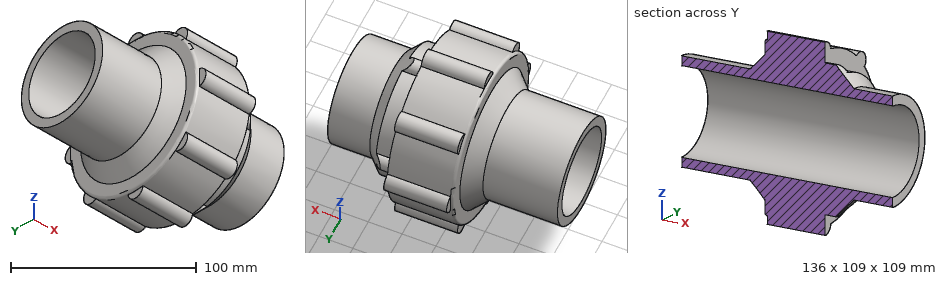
import cadquery as cq

total_length = 136.0
front_cone_start = 44.0
nut_start = 53.5
nut_end = 92.3
collar_end = 104.2
rear_cone_end = 111.0

bore_diameter = 51.4
pipe_radius = 63.0 / 2
nut_radius = 49.6
nut_edge_radius = 1.6

front_cone_radius = pipe_radius + nut_start - front_cone_start
collar_radius = pipe_radius + rear_cone_end - collar_end

grip_count = 8
grip_radius = 5.8
grip_tip_diameter = 109.0
grip_start = nut_start + nut_edge_radius

collar_rib_count = 4
collar_rib_radius = 4.8
collar_rib_tip_radius = 42.8


def cylinder_along_x(start, end, radius):
    return cq.Workplane("YZ", origin=(start, 0, 0)).circle(radius).extrude(end - start)


def ribs_along_x(start, end, rib_radius, tip_radius, count):
    """Round bars parallel to X, evenly spaced around the axis."""
    return (
        cq.Workplane("YZ", origin=(start, 0, 0))
        .polarArray(tip_radius - rib_radius, 0, 360, count)
        .circle(rib_radius)
        .extrude(end - start)
    )


def make_pipe_body():
    """Solid pipe with a cone on each side of the nut and a collar behind it."""
    profile = [
        (0, 0),
        (0, pipe_radius),
        (front_cone_start, pipe_radius),
        (nut_start, front_cone_radius),
        (nut_start, collar_radius),
        (collar_end, collar_radius),
        (rear_cone_end, pipe_radius),
        (total_length, pipe_radius),
        (total_length, 0),
    ]
    return cq.Workplane("XY").polyline(profile).close().revolve(360, (0, 0, 0), (1, 0, 0))


def make_nut():
    """Union nut with a rounded front edge and grip ribs."""
    nut = cylinder_along_x(nut_start, nut_end, nut_radius)
    nut = nut.faces("<X").edges().fillet(nut_edge_radius)
    grips = ribs_along_x(grip_start, nut_end, grip_radius, grip_tip_diameter / 2, grip_count)
    return nut.union(grips)


def make_collar_ribs():
    """Collar ribs whose rear ends are trimmed by the extended rear cone."""
    ribs = ribs_along_x(
        nut_end, rear_cone_end, collar_rib_radius, collar_rib_tip_radius, collar_rib_count
    )
    cone_base_radius = pipe_radius + rear_cone_end - nut_end
    trimming_cone = (
        cq.Workplane("XY")
        .polyline([
            (nut_end, 0),
            (nut_end, cone_base_radius),
            (rear_cone_end, pipe_radius),
            (rear_cone_end, 0),
        ])
        .close()
        .revolve(360, (0, 0, 0), (1, 0, 0))
    )
    return ribs.intersect(trimming_cone)


bore = cylinder_along_x(0, total_length, bore_diameter / 2)

result = make_pipe_body().union(make_nut()).union(make_collar_ribs()).cut(bore)